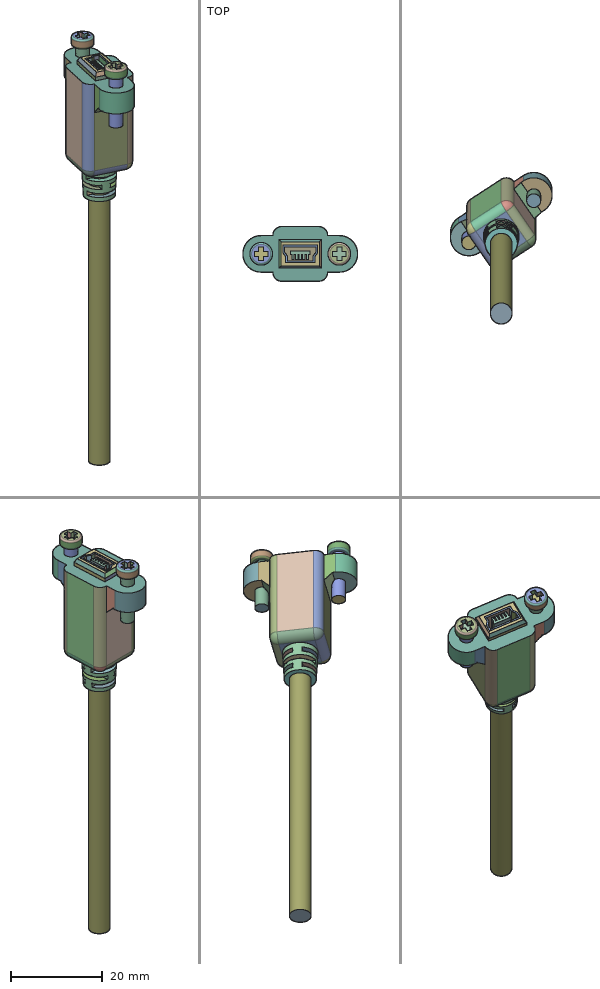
import cadquery as cq
import math

SCREW_TOP = 98.85
HOUSING_TOP = 94.2

BODY_WIDTH = 12.0
BODY_HEIGHT = 22.9
BODY_RADIUS = 2.0
BODY_BOTTOM = HOUSING_TOP - BODY_HEIGHT

FLANGE_LENGTH = 25.0
FLANGE_WIDTH = BODY_WIDTH - 2 * BODY_RADIUS
FLANGE_HEIGHT = 5.0
SCREW_X = (FLANGE_LENGTH - FLANGE_WIDTH) / 2
GUSSET_LEG = 1.9

COLLAR_LENGTH = 9.3
COLLAR_WIDTH = 6.2
COLLAR_HEIGHT = 1.8
COLLAR_BEVEL_HEIGHT = 0.9
COLLAR_BEVEL_INSET = 0.5
COLLAR_TOP = HOUSING_TOP + COLLAR_HEIGHT

SLOT_COUNT = 3
SLOT_HEIGHT = 1.0
SLOT_PITCH = 2 * SLOT_HEIGHT
SLOT_WEB = 2.1
RELIEF_TOP_DIAMETER = 7.8
RELIEF_BOTTOM_DIAMETER = 7.0
RELIEF_BOTTOM = 64.2
RELIEF_HEIGHT = BODY_BOTTOM - RELIEF_BOTTOM
CABLE_DIAMETER = 4.7

SHELL_WALL = 0.4
CAVITY_HEIGHT = 3.1
CAVITY_TOP_WIDTH = 6.8
CAVITY_BOTTOM_WIDTH = 5.5
SHOULDER_TOP_Y = 0.4
SHOULDER_BOTTOM_Y = -0.5
CAVITY_DEPTH = 5.9
SOCKET_DEPTH = 8.9
TONGUE_WIDTH = 4.2
TONGUE_TOP_Y = 0.6
TONGUE_THICKNESS = 0.7
TONGUE_RECESS = 0.3
CONTACT_COUNT = 5
CONTACT_PITCH = 0.8
CONTACT_WIDTH = 0.5
CONTACT_THICKNESS = 1.1

HEAD_DIAMETER = 4.9
HEAD_HEIGHT = 2.3
HEAD_EDGE_RADIUS = 0.4
SHANK_DIAMETER = 3.1
SHANK_BOTTOM = 84.6
CROSS_LENGTH = 3.0
CROSS_WIDTH = 1.1
CROSS_DEPTH = 1.5


def plane_at(z):
    return cq.Workplane("XY", origin=(0, 0, z))


def make_body_block():
    block = plane_at(BODY_BOTTOM).rect(BODY_WIDTH, BODY_WIDTH).extrude(BODY_HEIGHT)
    return block.edges("|Z or <Z").fillet(BODY_RADIUS)


def make_ears():
    """Rounded flange carrying both screws, with 45 degree gussets below it."""
    flange_bottom = HOUSING_TOP - FLANGE_HEIGHT
    flange = plane_at(flange_bottom).slot2D(FLANGE_LENGTH, FLANGE_WIDTH).extrude(FLANGE_HEIGHT)
    gusset_x = BODY_WIDTH / 2 + GUSSET_LEG
    gussets = (
        cq.Workplane("XZ")
        .moveTo(-gusset_x, flange_bottom)
        .lineTo(gusset_x, flange_bottom)
        .lineTo(gusset_x - GUSSET_LEG, flange_bottom - GUSSET_LEG)
        .lineTo(GUSSET_LEG - gusset_x, flange_bottom - GUSSET_LEG)
        .close()
        .extrude(FLANGE_WIDTH / 2, both=True)
    )
    return flange.union(gussets)


def make_collar():
    straight_height = COLLAR_HEIGHT - COLLAR_BEVEL_HEIGHT
    straight = plane_at(HOUSING_TOP).rect(COLLAR_LENGTH, COLLAR_WIDTH).extrude(straight_height)
    bevel = (
        plane_at(HOUSING_TOP + straight_height)
        .rect(COLLAR_LENGTH, COLLAR_WIDTH)
        .workplane(offset=COLLAR_BEVEL_HEIGHT)
        .rect(COLLAR_LENGTH - 2 * COLLAR_BEVEL_INSET, COLLAR_WIDTH - 2 * COLLAR_BEVEL_INSET)
        .loft(ruled=True)
    )
    return straight.union(bevel)


def make_strain_relief():
    """Tapered sleeve; each slot leaves two opposite webs, turned 90 degrees from the next slot."""
    sleeve = (
        plane_at(RELIEF_BOTTOM)
        .circle(RELIEF_BOTTOM_DIAMETER / 2)
        .workplane(offset=RELIEF_HEIGHT)
        .circle(RELIEF_TOP_DIAMETER / 2)
        .loft(ruled=True)
    )
    for index in range(SLOT_COUNT):
        slot_bottom = RELIEF_BOTTOM + SLOT_HEIGHT + index * SLOT_PITCH
        disc = plane_at(slot_bottom).circle(RELIEF_TOP_DIAMETER).extrude(SLOT_HEIGHT)
        web = plane_at(slot_bottom).rect(SLOT_WEB, 2 * RELIEF_TOP_DIAMETER).extrude(SLOT_HEIGHT)
        slot = disc.cut(web.rotate((0, 0, 0), (0, 0, 1), 90 * index))
        sleeve = sleeve.cut(slot)
    return sleeve


def make_cable():
    return plane_at(0).circle(CABLE_DIAMETER / 2).extrude(BODY_BOTTOM)


def socket_prism(wall, top, depth):
    """Stepped socket outline, enlarged by a wall thickness and extruded down from a level."""
    half_top = CAVITY_TOP_WIDTH / 2 + wall
    half_bottom = CAVITY_BOTTOM_WIDTH / 2 + wall
    half_height = CAVITY_HEIGHT / 2 + wall
    slope = math.atan2(
        SHOULDER_TOP_Y - SHOULDER_BOTTOM_Y, (CAVITY_TOP_WIDTH - CAVITY_BOTTOM_WIDTH) / 2
    )
    shoulder_shift = wall * math.tan((math.pi / 2 - slope) / 2)
    right_side = [
        (half_top, half_height),
        (half_top, SHOULDER_TOP_Y - shoulder_shift),
        (half_bottom, SHOULDER_BOTTOM_Y - shoulder_shift),
        (half_bottom, -half_height),
    ]
    left_side = [(-x, y) for x, y in reversed(right_side)]
    return plane_at(top).polyline(right_side + left_side).close().extrude(-depth)


def make_socket():
    """Socket shell with a closed back, a tongue and a row of contacts under the tongue."""
    socket = socket_prism(SHELL_WALL, COLLAR_TOP, SOCKET_DEPTH)
    socket = socket.cut(socket_prism(0, COLLAR_TOP, CAVITY_DEPTH))

    floor = plane_at(COLLAR_TOP - CAVITY_DEPTH)
    tongue_height = CAVITY_DEPTH - TONGUE_RECESS
    tongue_y = TONGUE_TOP_Y - TONGUE_THICKNESS / 2
    tongue = floor.center(0, tongue_y).rect(TONGUE_WIDTH, TONGUE_THICKNESS).extrude(tongue_height)

    contact_y = TONGUE_TOP_Y - TONGUE_THICKNESS - CONTACT_THICKNESS / 2
    contacts = (
        floor.center(0, contact_y)
        .rarray(CONTACT_PITCH, 1, CONTACT_COUNT, 1)
        .rect(CONTACT_WIDTH, CONTACT_THICKNESS)
        .extrude(tongue_height)
    )
    return socket.union(tongue).union(contacts)


def make_screw(x):
    """Round-headed screw with a cross recess, standing at the given X."""
    head = plane_at(SCREW_TOP).circle(HEAD_DIAMETER / 2).extrude(-HEAD_HEIGHT)
    head = head.edges().fillet(HEAD_EDGE_RADIUS)
    shank = plane_at(SHANK_BOTTOM).circle(SHANK_DIAMETER / 2)
    shank = shank.extrude(SCREW_TOP - HEAD_HEIGHT - SHANK_BOTTOM)
    recess_x = plane_at(SCREW_TOP).rect(CROSS_LENGTH, CROSS_WIDTH).extrude(-CROSS_DEPTH)
    recess_y = plane_at(SCREW_TOP).rect(CROSS_WIDTH, CROSS_LENGTH).extrude(-CROSS_DEPTH)
    screw = head.union(shank).cut(recess_x).cut(recess_y)
    return screw.translate((x, 0, 0))


def make_housing(cable):
    """Moulded housing with fitting holes for the cable, the socket and the screws."""
    housing = make_body_block().union(make_ears()).union(make_collar()).union(make_strain_relief())
    housing = housing.cut(cable)
    housing = housing.cut(socket_prism(SHELL_WALL, COLLAR_TOP, SOCKET_DEPTH))
    screw_holes = (
        plane_at(SHANK_BOTTOM)
        .pushPoints([(-SCREW_X, 0), (SCREW_X, 0)])
        .circle(SHANK_DIAMETER / 2)
        .extrude(HOUSING_TOP - SHANK_BOTTOM)
    )
    return housing.cut(screw_holes)


cable = make_cable()
socket = make_socket()
housing = make_housing(cable)
screws = [make_screw(side * SCREW_X) for side in (-1, 1)]

result = cq.Compound.makeCompound(
    [housing.val(), socket.val(), cable.val(), *[screw.val() for screw in screws]]
)